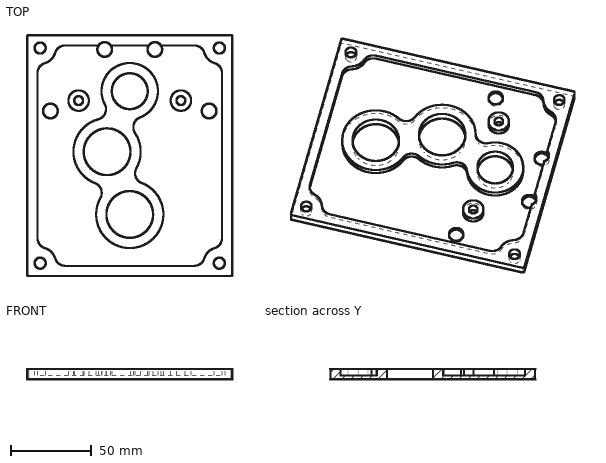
import cadquery as cq
import math

width = 127.0
length = 149.2
thickness = 6.4
corner_radius = 1.0

wall = 6.4
pocket_depth = 4.0
floor_thickness = thickness - pocket_depth
blend_radius = 6.4

screw_diameter = 6.7
screw_inset = 8.0
screw_x = width / 2 - screw_inset
screw_y = length / 2 - screw_inset
lobe_radius = screw_diameter / 2 + wall
screw_points = [(sx * screw_x, sy * screw_y) for sx in (-1, 1) for sy in (-1, 1)]

plain_diameter = 9.0
rim_hole_x = 15.5
rim_hole_y = 65.7
side_hole_x = 49.1
side_hole_y = 27.6
plain_points = [(s * rim_hole_x, rim_hole_y) for s in (-1, 1)]
plain_points += [(s * side_hole_x, side_hole_y) for s in (-1, 1)]

post_diameter = 12.7
post_hole_diameter = 5.4
post_x = 31.6
post_y = 34.0
post_points = [(s * post_x, post_y) for s in (-1, 1)]

small_bore = 22.1
large_bore = 28.8
bores = [
    ((0, 39.8), small_bore),
    ((-14.0, 2.4), large_bore),
    ((0, -36.4), large_bore),
]


def cylinders(points, diameter, bottom=0.0):
    """Upright cylinders from the given height to the top of the plate."""
    plane = cq.Workplane("XY").workplane(offset=bottom)
    return plane.pushPoints(points).circle(diameter / 2).extrude(thickness - bottom)


def make_pocket():
    """Pocket volume with blended lobes cut from its corners."""
    pocket = (
        cq.Workplane("XY").workplane(offset=floor_thickness)
        .rect(width - 2 * wall, length - 2 * wall)
        .extrude(pocket_depth)
    )
    for x, y in screw_points:
        outward = math.degrees(math.atan2(y, x))
        lobe = cylinders([(0, 0)], 2 * lobe_radius, floor_thickness)
        lobe = lobe.rotate((0, 0, 0), (0, 0, 1), outward).translate((x, y, 0))
        pocket = pocket.cut(lobe)
    return pocket.edges("|Z").fillet(blend_radius)


def make_neck(first, second):
    """Neck between two collar rings, hollowed on both sides by tangent arcs."""
    (x1, y1), bore1 = first
    (x2, y2), bore2 = second
    span = math.hypot(x2 - x1, y2 - y1)
    along_x = (x2 - x1) / span
    along_y = (y2 - y1) / span
    reach1 = bore1 / 2 + wall + blend_radius
    reach2 = bore2 / 2 + wall + blend_radius
    along = (span**2 + reach1**2 - reach2**2) / (2 * span)
    aside = math.sqrt(reach1**2 - along**2)
    foot_x = x1 + along * along_x
    foot_y = y1 + along * along_y
    left = (foot_x - aside * along_y, foot_y + aside * along_x)
    right = (foot_x + aside * along_y, foot_y - aside * along_x)
    neck = (
        cq.Workplane("XY").workplane(offset=floor_thickness)
        .polyline([(x1, y1), left, (x2, y2), right])
        .close()
        .extrude(pocket_depth)
    )
    return neck.cut(cylinders([left, right], 2 * blend_radius, floor_thickness))


plate = (
    cq.Workplane("XY")
    .rect(width, length)
    .extrude(thickness)
    .edges("|Z").fillet(corner_radius)
    .cut(make_pocket())
)

plate = plate.union(cylinders(post_points, post_diameter, floor_thickness))
for centre, bore in bores:
    plate = plate.union(cylinders([centre], bore + 2 * wall, floor_thickness))
for first, second in zip(bores, bores[1:]):
    plate = plate.union(make_neck(first, second))

for centre, bore in bores:
    plate = plate.cut(cylinders([centre], bore))
plate = plate.cut(cylinders(screw_points, screw_diameter))
plate = plate.cut(cylinders(plain_points, plain_diameter))
plate = plate.cut(cylinders(post_points, post_hole_diameter))

result = plate